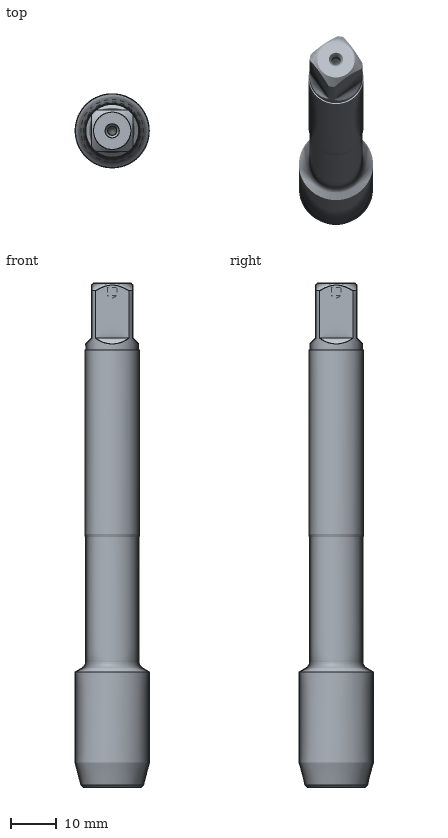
import cadquery as cq
import math

TOTAL_LENGTH = 110.0

HEAD_DIAMETER = 16.2
HEAD_LENGTH = 25.2
LEAD_LENGTH = 5.4
TIP_DIAMETER = 13.6
TIP_CHAMFER = 0.5

FOOT_SLOPE = math.radians(30)
FOOT_FILLET = 1.4
NECK_DIAMETER = 11.7
NECK_TOP = 54.6
SHANK_DIAMETER = 12.0
SHANK_BOTTOM = 55.2
SHANK_TOP = 95.4
DRIVE_DIAMETER = 11.5

SQUARE_WIDTH = 9.0
SQUARE_BOTTOM = 98.0
TOP_FACE_DIAMETER = 8.1
TOP_CHAMFER_HEIGHT = 1.6

CENTRE_DIAMETER = 2.0
COUNTERSINK_DIAMETER = 3.1
COUNTERSINK_DEPTH = 1.0
CENTRE_DEPTH = 2.8
DRILL_TIP_HEIGHT = 0.5


def revolve_profile(points):
    """Revolve (diameter, height) points about Z, closing the outline on the axis."""
    outline = [(diameter / 2, height) for diameter, height in points]
    if outline[0][0] > 0:
        outline.insert(0, (0, outline[0][1]))
    outline.append((0, outline[-1][1]))
    profile = cq.Workplane("XZ").polyline(outline).close()
    return profile.revolve(360, (0, 0, 0), (0, 1, 0))


def make_head():
    """Cutting head with a tapered lead and a small chamfer at the tip."""
    return revolve_profile([
        (TIP_DIAMETER - 2 * TIP_CHAMFER, 0),
        (TIP_DIAMETER, TIP_CHAMFER),
        (HEAD_DIAMETER, LEAD_LENGTH),
        (HEAD_DIAMETER, HEAD_LENGTH),
    ])


def make_shank_blank():
    """Turned shank before the square and the centre hole are cut."""
    foot_top = HEAD_LENGTH + (HEAD_DIAMETER - NECK_DIAMETER) / 2 * math.tan(FOOT_SLOPE)
    blank = revolve_profile([
        (HEAD_DIAMETER, HEAD_LENGTH),
        (NECK_DIAMETER, foot_top),
        (NECK_DIAMETER, NECK_TOP),
        (SHANK_DIAMETER, SHANK_BOTTOM),
        (SHANK_DIAMETER, SHANK_TOP),
        (DRIVE_DIAMETER, SHANK_TOP),
        (DRIVE_DIAMETER, TOTAL_LENGTH - TOP_CHAMFER_HEIGHT),
        (TOP_FACE_DIAMETER, TOTAL_LENGTH),
    ])
    foot_corner = cq.selectors.NearestToPointSelector((0, 0, foot_top))
    return blank.edges(foot_corner).fillet(FOOT_FILLET)


def make_flat_cutter():
    """Cutter for the +X flat, with a 45 degree run-out at its lower end."""
    flat = SQUARE_WIDTH / 2
    reach = SHANK_DIAMETER - flat
    return (
        cq.Workplane("XZ")
        .moveTo(flat, SQUARE_BOTTOM)
        .lineTo(flat + reach, SQUARE_BOTTOM - reach)
        .lineTo(flat + reach, TOTAL_LENGTH)
        .lineTo(flat, TOTAL_LENGTH)
        .close()
        .extrude(SHANK_DIAMETER / 2, both=True)
    )


def make_centre_hole():
    """Countersunk centre hole with a conical bottom, drilled down from the top face."""
    return revolve_profile([
        (0, TOTAL_LENGTH - CENTRE_DEPTH - DRILL_TIP_HEIGHT),
        (CENTRE_DIAMETER, TOTAL_LENGTH - CENTRE_DEPTH),
        (CENTRE_DIAMETER, TOTAL_LENGTH - COUNTERSINK_DEPTH),
        (COUNTERSINK_DIAMETER, TOTAL_LENGTH),
    ])


def make_shank():
    shank = make_shank_blank()
    flat_cutter = make_flat_cutter()
    for angle in (0, 90, 180, 270):
        shank = shank.cut(flat_cutter.rotate((0, 0, 0), (0, 0, 1), angle))
    return shank.cut(make_centre_hole())


head = make_head()
shank = make_shank()

result = cq.Compound.makeCompound([head.val(), shank.val()])